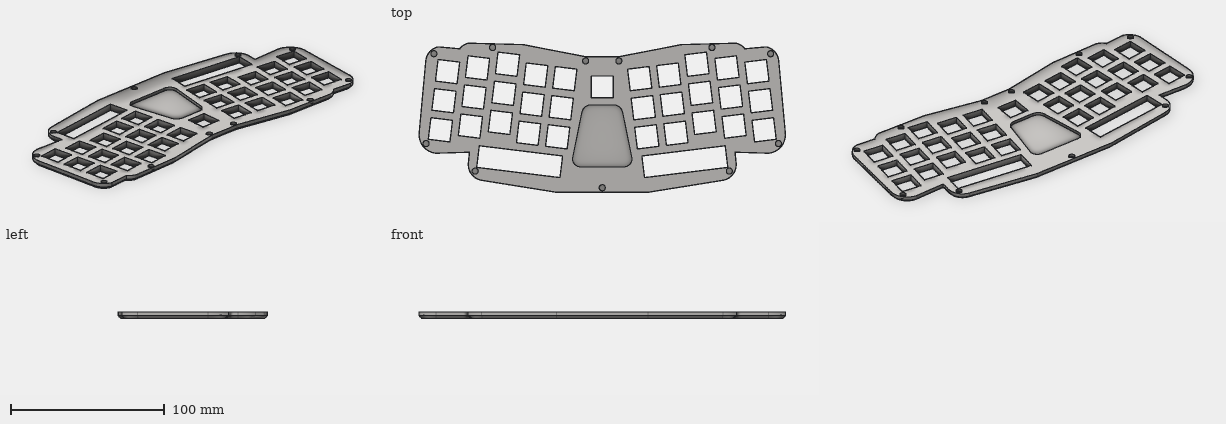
import cadquery as cq
import math

WIDTH = 238.28
DEPTH = 97.08
THICKNESS = 4.5
EDGE_CHAMFER = 2.0
CHAMFER_ANGLE = 45.0
HALF_WIDTH = WIDTH / 2
FRONT_Y = -DEPTH / 2
BACK_Y = DEPTH / 2

SIDE_TILT = 5.3
FRONT_SLOPE = 9.4
FRONT_FLAT_X = 29.8
NECK_RADIUS = 10.5
NECK_CENTRE = (87.15 - NECK_RADIUS, -30.4)
NECK_TOP = (86.4, -22.5)
WING_FRONT_RADIUS = 12.2
WING_FRONT_CENTRE = (HALF_WIDTH - WING_FRONT_RADIUS, -11.0)
WING_FRONT_END_ANGLE = -85.0
WING_BACK_RADIUS = 10.6
WING_BACK_CENTRE = (104.3, 35.8)
WING_BACK_START_ANGLE = 0.0
WING_BACK_END_ANGLE = 77.0
SHOULDER_START = (92.7, 44.9)
SHOULDER_MIDDLE = (90.2, 47.2)
SHOULDER_END = (86.8, BACK_Y)
BACK_BEND = (51.5, 47.6)
BACK_FLAT = (11.2, 39.8)

KEY_SIZE = 14.0
KEY_PITCH = 19.05
KEY_ROWS = (1, 0, -1)
COLUMN_STAGGER = (0.0, 0.0, 0.25, 0.0, -0.25)
KEY_TILT = 7.0
KEY_ORIGIN = (26.66, 6.5)
THUMB_SLOT_LENGTH = 54.4
THUMB_SLOT_OFFSET = (22.56, -2 * KEY_PITCH)
CENTRE_KEY_Y = 20.1

POCKET_DEPTH = 2.0
POCKET_BACK_Y = 8.3
POCKET_FRONT_Y = -31.9
POCKET_BACK_HALF = 12.3
POCKET_FRONT_HALF = 20.4
POCKET_BACK_RADIUS = 6.0
POCKET_FRONT_RADIUS = 5.0

RIM_HOLE_DIAMETER = 4.0
RIM_HOLE_DEPTH = 2.0
PAIRED_RIM_HOLES = ((109.45, 41.6), (71.3, 45.65), (10.8, 36.9), (114.5, -16.8), (82.6, -34.7))
FRONT_RIM_HOLE = (0.0, -45.5)


def on_circle(centre, radius, angle):
    """Point on a circle at an angle in degrees from +X."""
    turn = math.radians(angle)
    return (centre[0] + radius * math.cos(turn), centre[1] + radius * math.sin(turn))


def add_corner(path, centre, radius, start_angle, end_angle):
    """Run a straight edge to the corner's start, then follow its arc."""
    middle_angle = (start_angle + end_angle) / 2
    path = path.lineTo(*on_circle(centre, radius, start_angle))
    return path.threePointArc(
        on_circle(centre, radius, middle_angle),
        on_circle(centre, radius, end_angle),
    )


def outline():
    """Closed outline at the height where the edge chamfer starts."""
    path = cq.Workplane("XY").workplane(offset=EDGE_CHAMFER).moveTo(0, FRONT_Y).lineTo(FRONT_FLAT_X, FRONT_Y)
    path = add_corner(path, NECK_CENTRE, NECK_RADIUS, FRONT_SLOPE - 90, SIDE_TILT)
    path = path.lineTo(*NECK_TOP)
    path = add_corner(
        path, WING_FRONT_CENTRE, WING_FRONT_RADIUS, WING_FRONT_END_ANGLE, SIDE_TILT
    )
    path = add_corner(
        path, WING_BACK_CENTRE, WING_BACK_RADIUS, WING_BACK_START_ANGLE, WING_BACK_END_ANGLE
    )
    path = path.lineTo(*SHOULDER_START).threePointArc(SHOULDER_MIDDLE, SHOULDER_END)
    path = path.lineTo(*BACK_BEND).lineTo(*BACK_FLAT).lineTo(0, BACK_FLAT[1])
    return path.mirrorY()


def make_blank():
    """Upright rim above, with a chamfer narrowing down to the underside."""
    rim = outline().extrude(THICKNESS - EDGE_CHAMFER)
    chamfered_base = outline().extrude(-EDGE_CHAMFER, taper=CHAMFER_ANGLE)
    return rim.union(chamfered_base)


def tilted_opening(length, offset):
    """Opening on the right half's key grid, offset from the grid's origin."""
    return (
        cq.Workplane("XY")
        .center(*offset)
        .rect(length, KEY_SIZE)
        .extrude(THICKNESS)
        .rotate((0, 0, 0), (0, 0, 1), KEY_TILT)
        .translate((*KEY_ORIGIN, 0))
    )


def cut_both_halves(body, cutter):
    return body.cut(cutter).cut(cutter.mirror("YZ"))


def cut_key_openings(body):
    for column, stagger in enumerate(COLUMN_STAGGER):
        for row in KEY_ROWS:
            offset = (column * KEY_PITCH, (row + stagger) * KEY_PITCH)
            body = cut_both_halves(body, tilted_opening(KEY_SIZE, offset))
    body = cut_both_halves(body, tilted_opening(THUMB_SLOT_LENGTH, THUMB_SLOT_OFFSET))
    centre_key = cq.Workplane("XY").center(0, CENTRE_KEY_Y).rect(KEY_SIZE, KEY_SIZE).extrude(THICKNESS)
    return body.cut(centre_key)


def cut_pocket(body):
    corners = [
        (-POCKET_FRONT_HALF, POCKET_FRONT_Y),
        (POCKET_FRONT_HALF, POCKET_FRONT_Y),
        (POCKET_BACK_HALF, POCKET_BACK_Y),
        (-POCKET_BACK_HALF, POCKET_BACK_Y),
    ]
    floor = cq.Workplane("XY").workplane(offset=THICKNESS - POCKET_DEPTH)
    pocket = floor.polyline(corners).close().extrude(POCKET_DEPTH)
    pocket = pocket.edges("|Z and >Y").fillet(POCKET_BACK_RADIUS)
    pocket = pocket.edges("|Z and <Y").fillet(POCKET_FRONT_RADIUS)
    return body.cut(pocket)


def cut_rim_holes(body):
    mirrored = [(-x, y) for x, y in PAIRED_RIM_HOLES]
    centres = [*PAIRED_RIM_HOLES, *mirrored, FRONT_RIM_HOLE]
    floor = cq.Workplane("XY").workplane(offset=THICKNESS - RIM_HOLE_DEPTH)
    holes = floor.pushPoints(centres).circle(RIM_HOLE_DIAMETER / 2).extrude(RIM_HOLE_DEPTH)
    return body.cut(holes)


plate = make_blank()
plate = cut_key_openings(plate)
plate = cut_pocket(plate)
plate = cut_rim_holes(plate)

result = cq.Compound.makeCompound([plate.val()])